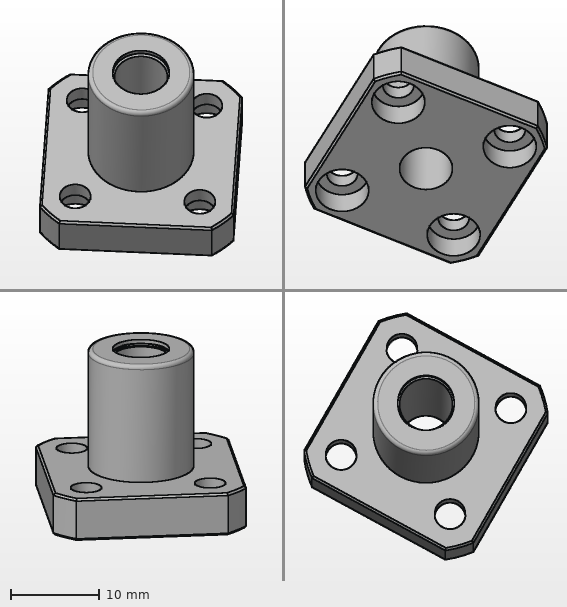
import cadquery as cq

flange_width = 22.0
flange_corner_diameter = 28.0
flange_thickness = 5.0
flange_chamfer = 0.25
flange_turn_angle = 45.0

barrel_diameter = 12.0
total_height = 19.0
barrel_top_fillet = 0.5

bore_diameter = 6.0
mouth_diameter = 6.4
mouth_depth = 0.5
groove_diameter = 6.8
groove_width = 0.3

mount_hole_diameter = 3.5
mount_counterbore_diameter = 6.0
mount_counterbore_depth = 3.1
mount_circle_radius = 10.0
mount_hole_count = 4


def cylinder(diameter, bottom, top):
    """Cylinder on the Z axis between two heights."""
    return cq.Workplane("XY", origin=(0, 0, bottom)).circle(diameter / 2).extrude(top - bottom)


def make_flange():
    square = cq.Workplane("XY").rect(flange_width, flange_width).extrude(flange_thickness)
    diamond = square.rotate((0, 0, 0), (0, 0, 1), flange_turn_angle)
    flange = diamond.intersect(cylinder(flange_corner_diameter, 0, flange_thickness))
    return flange.faces("<Z or >Z").chamfer(flange_chamfer)


def make_barrel():
    barrel = cylinder(barrel_diameter, 0, total_height)
    return barrel.faces(">Z").edges().fillet(barrel_top_fillet)


def make_bore():
    groove_top = total_height - mouth_depth
    groove_bottom = groove_top - groove_width
    bore = cylinder(bore_diameter, 0, total_height)
    mouth = cylinder(mouth_diameter, groove_top, total_height)
    groove = cylinder(groove_diameter, groove_bottom, groove_top)
    return bore.union(mouth).union(groove)


def make_mount_hole():
    hole = cylinder(mount_hole_diameter, 0, flange_thickness)
    counterbore = cylinder(mount_counterbore_diameter, 0, mount_counterbore_depth)
    return hole.union(counterbore)


result = make_flange().union(make_barrel()).cut(make_bore())

for hole_index in range(mount_hole_count):
    hole_angle = hole_index * 360 / mount_hole_count
    mount_hole = make_mount_hole().translate((mount_circle_radius, 0, 0))
    result = result.cut(mount_hole.rotate((0, 0, 0), (0, 0, 1), hole_angle))